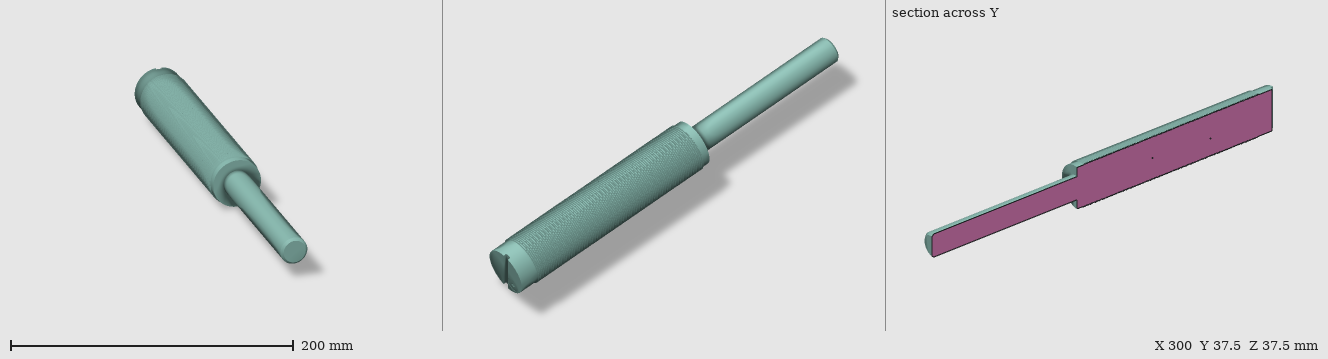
import cadquery as cq

head_length = 13.5
body_length = 173.0
total_length = 300.0

body_diameter = 35.7
shaft_diameter = 20.0
shaft_chamfer = 1.8

thread_diameter = 37.5
pitch = 1.5
thread_turns = 102
turns_per_face = 2
crest_width = pitch / 8
base_width = pitch * 7 / 8
ridge_overlap = 0.15
thread_start_angle = -84.0

slot_width = 4.5
slot_depth = 2.5

screw_y = -7.8
screw_z = -7.8
screw_diameter = 11.0
screw_recess = 0.3
socket_sides = 6
socket_across_corners = 4.0
socket_depth = 3.0

window_x = 5.5
window_diameter = 10.0
window_floor_y = 14.0


def cylinder(diameter, x_start, x_end, y=0.0, z=0.0):
    """A cylinder parallel to X between two X positions."""
    return cq.Workplane("YZ", origin=(x_start, y, z)).circle(diameter / 2).extrude(x_end - x_start)


def make_body():
    """The plain body with the slot, window and screw in its head."""
    body = cylinder(body_diameter, 0, body_length)
    slot = cq.Workplane("XY").box(slot_depth, slot_width, body_diameter, centered=(False, True, True))
    body = body.cut(slot)
    window_depth = body_diameter / 2 - window_floor_y
    window = cq.Workplane("XZ", origin=(window_x, body_diameter / 2, 0)).circle(window_diameter / 2)
    body = body.cut(window.extrude(window_depth))
    body = body.cut(cylinder(screw_diameter, 0, screw_recess, screw_y, screw_z))
    socket = cq.Workplane("YZ", origin=(0, screw_y, screw_z)).transformed(rotate=(0, 0, 90))
    socket = socket.polygon(socket_sides, socket_across_corners).extrude(socket_depth)
    return body.cut(socket)


def make_shaft():
    """The smooth shaft with its chamfered end."""
    return cylinder(shaft_diameter, body_length, total_length).faces(">X").chamfer(shaft_chamfer)


def make_thread():
    """The solid helical ridge, with ruled faces between the helices through its four corners."""
    base_radius = body_diameter / 2 - ridge_overlap
    crest_radius = thread_diameter / 2
    crest_start = (base_width - crest_width) / 2
    corners = [
        (base_radius, 0),
        (crest_radius, crest_start),
        (crest_radius, crest_start + crest_width),
        (base_radius, base_width),
    ]

    stretch_length = turns_per_face * pitch
    stretches = []
    for i in range(thread_turns // turns_per_face):
        start = i * stretch_length
        helices = [
            cq.Wire.makeHelix(pitch, stretch_length, radius, cq.Vector(0, 0, start + offset))
            for radius, offset in corners
        ]
        stretches.append(helices)

    faces = []
    for helices in stretches:
        for i in range(len(helices)):
            faces.append(cq.Face.makeRuledSurface(helices[i - 1], helices[i]))

    end_outlines = [
        [helix.startPoint() for helix in stretches[0]],
        [helix.endPoint() for helix in stretches[-1]],
    ]
    for points in end_outlines:
        faces.append(cq.Face.makeFromWires(cq.Wire.makePolygon(points, close=True)))

    ridge = cq.Workplane(cq.Solid.makeSolid(cq.Shell.makeShell(faces)))
    ridge = ridge.rotate((0, 0, 0), (0, 1, 0), 90).rotate((0, 0, 0), (1, 0, 0), 90 + thread_start_angle)
    return ridge.translate((head_length, 0, 0))


result = make_body().union(make_shaft()).union(make_thread(), clean=False)